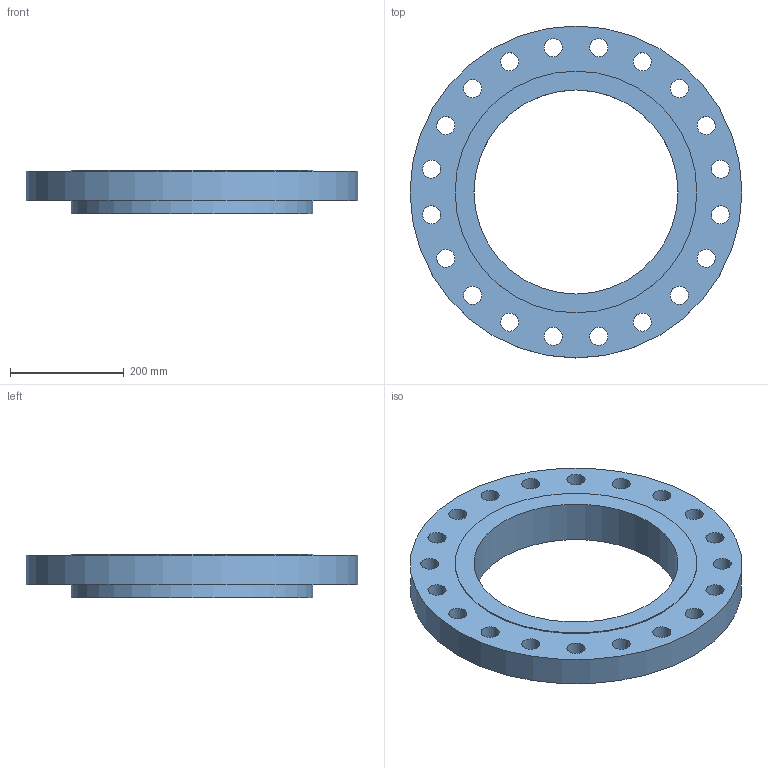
import cadquery as cq

flange_diameter = 584.2
overall_height = 76.2
bore_diameter = 359.2

raised_face_diameter = 425.5
raised_face_height = 1.6
hub_diameter = 425.5
plate_thickness = 52.2
hub_height = overall_height - plate_thickness - raised_face_height

bolt_circle_diameter = 514.4
bolt_hole_diameter = 31.8
bolt_hole_count = 20
bolt_pitch_angle = 360 / bolt_hole_count


def disc(diameter, bottom, height):
    """Solid disc on the Z axis, standing on the given height."""
    return cq.Workplane("XY", origin=(0, 0, bottom)).circle(diameter / 2).extrude(height)


def flange_body():
    """Hub, bolting plate and raised face stacked from the bottom up."""
    hub = disc(hub_diameter, 0, hub_height)
    plate = disc(flange_diameter, hub_height, plate_thickness)
    raised_face = disc(raised_face_diameter, hub_height + plate_thickness, raised_face_height)
    return hub.union(plate).union(raised_face)


def bolt_holes():
    """Cutters for the bolt holes, set half a pitch off the X and Y axes."""
    return (
        cq.Workplane("XY")
        .polarArray(bolt_circle_diameter / 2, bolt_pitch_angle / 2, 360, bolt_hole_count)
        .circle(bolt_hole_diameter / 2)
        .extrude(overall_height)
    )


bore = disc(bore_diameter, 0, overall_height)
result = flange_body().cut(bore).cut(bolt_holes())